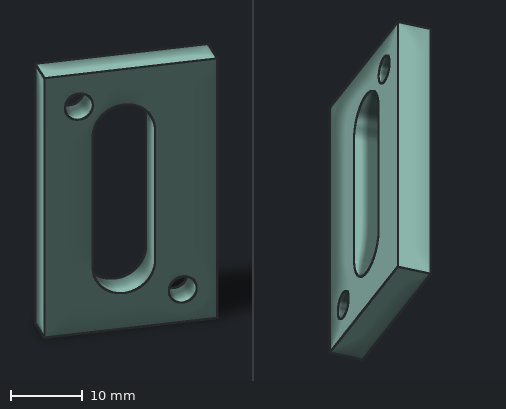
import cadquery as cq

thickness = 5.0
width = 25.0
height = 40.0

hole_diameter = 4.0
hole_edge_distance = 5.0
hole_y = width / 2 - hole_edge_distance
hole_z = height / 2 - hole_edge_distance

slot_width = 9.0
slot_length = 29.0
slot_y = -1.0

plate = cq.Workplane("YZ").box(width, height, thickness)

holes = (
    cq.Workplane("YZ")
    .pushPoints([(-hole_y, hole_z), (hole_y, -hole_z)])
    .circle(hole_diameter / 2)
    .extrude(thickness / 2, both=True)
)

slot = (
    cq.Workplane("YZ")
    .center(slot_y, 0)
    .slot2D(slot_length, slot_width, angle=90)
    .extrude(thickness / 2, both=True)
)

result = plate.cut(holes).cut(slot)